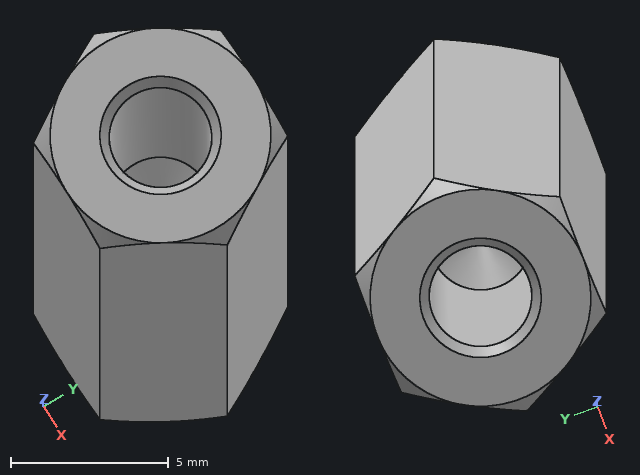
import cadquery as cq
import math

length = 25.0
across_flats = 7.0
across_corners = across_flats / math.cos(math.pi / 6)
half_length = length / 2

chamfer_angle = 45.0
end_face_radius = across_flats / 2
corner_radius = across_corners / 2
corner_drop = (corner_radius - end_face_radius) * math.tan(math.radians(chamfer_angle))

hole_radius = 3.25 / 2
mouth_radius = 3.85 / 2
mouth_depth = mouth_radius - hole_radius
hole_depth = 10.0
drill_point_angle = 118.0
drill_point_depth = hole_radius / math.tan(math.radians(drill_point_angle / 2))


def revolve_profile(points):
    """Revolve a closed (radius, height) outline about the Z axis."""
    return cq.Workplane("XZ").polyline(points).close().revolve(360, (0, 0, 0), (0, 1, 0))


def hex_body():
    """Hexagonal bar trimmed to a double-chamfered round envelope."""
    bar = (
        cq.Workplane("XY")
        .workplane(offset=-half_length)
        .polygon(6, across_corners)
        .extrude(length)
    )
    envelope = revolve_profile([
        (0, -half_length),
        (end_face_radius, -half_length),
        (corner_radius, -half_length + corner_drop),
        (corner_radius, half_length - corner_drop),
        (end_face_radius, half_length),
        (0, half_length),
    ])
    return bar.intersect(envelope)


def top_hole():
    """Cutter for the hole that opens on the upper end face."""
    hole_bottom = half_length - hole_depth
    return revolve_profile([
        (0, half_length),
        (mouth_radius, half_length),
        (hole_radius, half_length - mouth_depth),
        (hole_radius, hole_bottom),
        (0, hole_bottom - drill_point_depth),
    ])


upper_hole = top_hole()
lower_hole = upper_hole.mirror("XY")
result = hex_body().cut(upper_hole).cut(lower_hole)